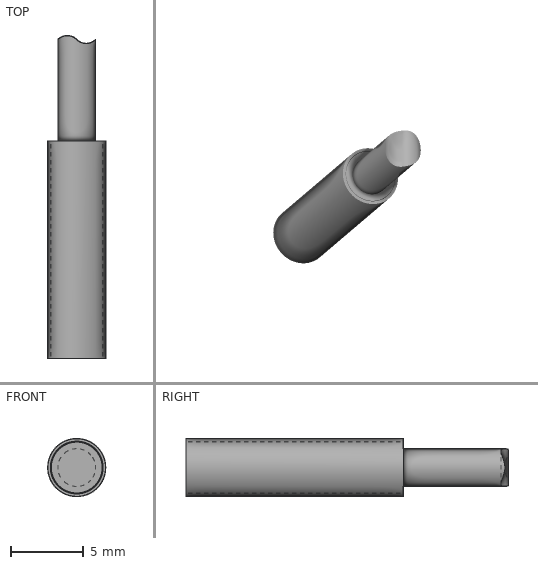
import cadquery as cq

total_length = 22.28
sleeve_length = 15.02
sleeve_diameter = 4.0
bore_diameter = 3.6
core_diameter = 3.55
rod_diameter = 2.6

wave_depth = 0.53

rod_radius = rod_diameter / 2
rod_length = total_length - sleeve_length


def cylinder_along_y(diameter, start, length):
    """Solid cylinder on the Y axis, from start toward +Y."""
    plane = cq.Workplane("XZ", origin=(0, start, 0))
    return plane.circle(diameter / 2).extrude(-length)


def make_sleeve():
    """Outer tube, open at both ends."""
    outside = cylinder_along_y(sleeve_diameter, 0, sleeve_length)
    return outside.cut(cylinder_along_y(bore_diameter, 0, sleeve_length))


def make_core():
    """Plain cylinder inside the sleeve, with a small clearance all round."""
    return cylinder_along_y(core_diameter, 0, sleeve_length)


def make_rod():
    """Thin rod standing on the core, its free end cut to an S-shaped wave."""
    blank = cylinder_along_y(rod_diameter, sleeve_length, rod_length)
    middle_y = total_length - wave_depth / 2
    wave_envelope = (
        cq.Workplane("XY")
        .moveTo(-rod_radius, sleeve_length)
        .lineTo(-rod_radius, middle_y)
        .threePointArc((-rod_radius / 2, total_length), (0, middle_y))
        .threePointArc((rod_radius / 2, total_length - wave_depth), (rod_radius, middle_y))
        .lineTo(rod_radius, sleeve_length)
        .close()
        .extrude(rod_radius, both=True)
    )
    return blank.intersect(wave_envelope)


sleeve = make_sleeve()
core = make_core()
rod = make_rod()

result = cq.Compound.makeCompound([sleeve.solids().val(), core.solids().val(), rod.solids().val()])